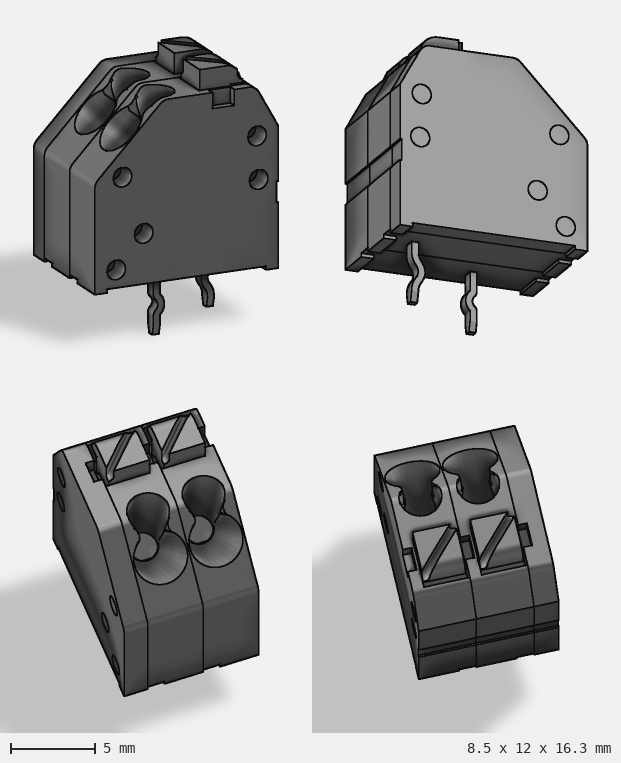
import cadquery as cq
import math

TOTAL_WIDTH = 8.5
DEPTH = 12.0
HEIGHT = 11.5
PLATE_WIDTH = 1.5
MODULE_COUNT = 2
PITCH = (TOTAL_WIDTH - PLATE_WIDTH) / MODULE_COUNT
MODULE_STARTS = [PLATE_WIDTH + i * PITCH for i in range(MODULE_COUNT)]

SLOPE_BOTTOM_Z = 6.9
SLOPE_TOP_Y = 4.5
BACK_BEVEL_Y = 10.51
BACK_BEVEL_Z = 8.85
EDGE_RADIUS = 0.75
FOOT_DEPTH = 0.8
FOOT_HEIGHT = 0.23
FOOT_GAP_WIDTH = 1.05
BACK_RECESS_Z = 4.09
BACK_RECESS_HEIGHT = 1.32
BACK_RECESS_DEPTH = 0.11

PEG_DIAMETER = 1.2
PEG_LENGTH = PLATE_WIDTH
PEG_CENTERS = [(10.61, 8.41), (10.71, 5.69), (1.81, 7.05), (3.2, 3.37), (1.4, 1.35)]

WIRE_X = PITCH / 2
SLOPE_ANGLE = math.atan2(HEIGHT - SLOPE_BOTTOM_Z, SLOPE_TOP_Y)
FUNNEL_Y = 2.55
FUNNEL_Z = SLOPE_BOTTOM_Z + FUNNEL_Y * math.tan(SLOPE_ANGLE)
FUNNEL_MOUTH_RADIUS = 1.65
FUNNEL_FLOOR_RADIUS = 0.91
FUNNEL_DEPTH = 3.96
TEST_HOLE_ANGLE = math.radians(11)
TEST_HOLE_RADIUS = 1.27
TEST_HOLE_FLOOR_RADIUS = 0.91
TEST_HOLE_FLOOR_Y = 5.64
TEST_HOLE_FLOOR_Z = 6.3
MOUTH_EXTENSION = 0.49
NECK_DISTANCE = 1.65
NECK_WAIST = 1.83
NECK_END_WIDTH = 2.25
NECK_LENGTH = 0.98
NECK_DEPTH = 2.28
NECK_TAPER = 5

POCKET_WIDTH = 2.79
POCKET_FRONT_Y = 7.14
POCKET_BACK_Y = 10.25
POCKET_DEPTH = 2.0
BUTTON_TOP_Z = 12.8
BUTTON_SIDE_GAP = 0.2
BUTTON_FRONT_Y = 7.19
HEAD_BACK_Y = 10.01
HEAD_BOTTOM_Z = 11.62
HEAD_RADIUS = 1.14
STEM_BACK_Y = 9.23
BASE_HEIGHT = 1.01
BASE_BACK_CHAMFER = 0.47
BASE_FRONT_RISE = 0.21
SLOT_WIDTH = 0.49
SLOT_DEPTH = 1.0
SLOT_FRONT_FILLET = 0.37
SLOT_BACK_FILLET = 0.1

NOTCH_WIDTH = 0.54
NOTCH_FRONT_Y = 7.7
NOTCH_BACK_Y = 9.11
NOTCH_DEPTH = 1.0

PIN_X = 1.9
PIN_WIDTH = 0.78
PIN_THICKNESS = 0.44
PIN_LENGTH = 3.5
PIN_INSERTION = 1.63
PIN_TOP_Z = FOOT_HEIGHT + PIN_INSERTION
PIN_BEND_Z = -1.61
PIN_TIP_WIDTH = 0.44
PIN_TIP_HEIGHT = 0.64
PIN_SHAPES = [
    (9.8, -1, 38, 1.17, 0.82),
    (4.61, 1, 47, 0.23, 0.65),
]


def box(x0, x1, y0, y1, z0, z1):
    """Box between opposite corners."""
    return cq.Workplane(cq.Solid.makeBox(x1 - x0, y1 - y0, z1 - z0, cq.Vector(x0, y0, z0)))


def profile_slab(x_start, width):
    """Slab with the rounded side profile, the feet and the shallow recess in the back."""
    outline = [
        (0, 0),
        (0, SLOPE_BOTTOM_Z),
        (SLOPE_TOP_Y, HEIGHT),
        (BACK_BEVEL_Y, HEIGHT),
        (DEPTH, BACK_BEVEL_Z),
        (DEPTH, 0),
    ]
    x_end = x_start + width
    slab = cq.Workplane("YZ", origin=(x_start, 0, 0)).polyline(outline).close().extrude(width)
    for y, z in [(0, SLOPE_BOTTOM_Z), (SLOPE_TOP_Y, HEIGHT), (BACK_BEVEL_Y, HEIGHT)]:
        slab = slab.edges(cq.NearestToPointSelector((x_start + width / 2, y, z))).fillet(EDGE_RADIUS)
    underside = box(x_start, x_end, FOOT_DEPTH, DEPTH - FOOT_DEPTH, 0, FOOT_HEIGHT)
    recess_top = BACK_RECESS_Z + BACK_RECESS_HEIGHT
    recess = box(x_start, x_end, DEPTH - BACK_RECESS_DEPTH, DEPTH, BACK_RECESS_Z, recess_top)
    return slab.cut(underside).cut(recess)


def pegs(x_start):
    """Row of pegs running from x_start towards +X."""
    side_plane = cq.Workplane("YZ", origin=(x_start, 0, 0))
    return side_plane.pushPoints(PEG_CENTERS).circle(PEG_DIAMETER / 2).extrude(PEG_LENGTH)


def button_notch(x_end):
    """Clearance notch that opens on the face at x_end."""
    return box(x_end - NOTCH_WIDTH, x_end, NOTCH_FRONT_Y, NOTCH_BACK_Y, HEIGHT - NOTCH_DEPTH, HEIGHT)


def outward_cone(x, y, z, angle, floor_radius, mouth_radius, depth):
    """Cone opening out of the housing from its floor centre, tilted from +Z towards -Y, run past its mouth."""
    taper = (mouth_radius - floor_radius) / depth
    length = depth + MOUTH_EXTENSION
    outward = cq.Vector(0, -math.sin(angle), math.cos(angle))
    return cq.Solid.makeCone(floor_radius, floor_radius + taper * length, length, cq.Vector(x, y, z), outward)


def entry_neck(x_center):
    """Waisted prism that opens the web between funnel and test hole, sunk square to the slope."""
    inward = (0, math.sin(SLOPE_ANGLE), -math.cos(SLOPE_ANGLE))
    slope_plane = cq.Plane(origin=(x_center, FUNNEL_Y, FUNNEL_Z), xDir=(1, 0, 0), normal=inward)
    half_waist = NECK_WAIST / 2
    half_end = NECK_END_WIDTH / 2
    half_length = NECK_LENGTH / 2
    return (
        cq.Workplane(slope_plane)
        .center(0, -NECK_DISTANCE)
        .moveTo(-half_end, -half_length)
        .lineTo(half_end, -half_length)
        .threePointArc((half_waist, 0), (half_end, half_length))
        .lineTo(-half_end, half_length)
        .threePointArc((-half_waist, 0), (-half_end, -half_length))
        .close()
        .extrude(NECK_DEPTH, taper=NECK_TAPER)
    )


def wire_entry(x_center):
    """Funnel and test hole merged into one cutting body, joined by a waisted neck."""
    funnel = outward_cone(
        x_center,
        FUNNEL_Y + FUNNEL_DEPTH * math.sin(SLOPE_ANGLE),
        FUNNEL_Z - FUNNEL_DEPTH * math.cos(SLOPE_ANGLE),
        SLOPE_ANGLE,
        FUNNEL_FLOOR_RADIUS,
        FUNNEL_MOUTH_RADIUS,
        FUNNEL_DEPTH,
    )
    test_hole = outward_cone(
        x_center,
        TEST_HOLE_FLOOR_Y,
        TEST_HOLE_FLOOR_Z,
        TEST_HOLE_ANGLE,
        TEST_HOLE_FLOOR_RADIUS,
        TEST_HOLE_RADIUS,
        (HEIGHT - TEST_HOLE_FLOOR_Z) / math.cos(TEST_HOLE_ANGLE),
    )
    return cq.Workplane(funnel).union(cq.Workplane(test_hole)).union(entry_neck(x_center))


def pin_recess(x_start, shape):
    """Straight recess that holds the upper end of a pin."""
    x = x_start + PIN_X
    y = shape[0]
    half_width = PIN_WIDTH / 2
    half = PIN_THICKNESS / 2
    return box(x - half_width, x + half_width, y - half, y + half, 0, PIN_TOP_Z)


def make_end_plate():
    """End plate whose holes take the pegs of the first housing."""
    return profile_slab(0, PLATE_WIDTH).cut(pegs(0)).cut(button_notch(PLATE_WIDTH))


def make_housing(x_start, pin_shape):
    """Terminal housing with pegs on its -X side and matching sockets on its +X side."""
    x_end = x_start + PITCH
    housing = profile_slab(x_start, PITCH)
    housing = housing.cut(box(x_start, x_start + FOOT_GAP_WIDTH, 0, DEPTH, 0, FOOT_HEIGHT))
    housing = housing.cut(wire_entry(x_start + WIRE_X))
    pocket_x = x_start + POCKET_WIDTH
    housing = housing.cut(
        box(x_start, pocket_x, POCKET_FRONT_Y, POCKET_BACK_Y, HEIGHT - POCKET_DEPTH, HEIGHT)
    )
    housing = housing.cut(button_notch(x_end))
    housing = housing.cut(pin_recess(x_start, pin_shape))
    housing = housing.cut(pegs(x_end - PEG_LENGTH))
    return housing.union(pegs(x_start - PEG_LENGTH))


def make_button(x_start):
    """Push button: rounded head with a diagonal slot, on a stem and a wider base."""
    x0 = x_start + BUTTON_SIDE_GAP
    x1 = x_start + POCKET_WIDTH
    base_bottom = HEIGHT - POCKET_DEPTH
    base_top = base_bottom + BASE_HEIGHT

    head = box(x0, x1, BUTTON_FRONT_Y, HEAD_BACK_Y, HEAD_BOTTOM_Z, BUTTON_TOP_Z)
    head = head.edges(">Y and >Z").fillet(HEAD_RADIUS)
    stem = box(x0, x1, BUTTON_FRONT_Y, STEM_BACK_Y, base_bottom, HEAD_BOTTOM_Z)
    base_outline = [
        (BUTTON_FRONT_Y, base_bottom),
        (BUTTON_FRONT_Y, base_top + BASE_FRONT_RISE),
        (BUTTON_FRONT_Y + BASE_FRONT_RISE, base_top),
        (STEM_BACK_Y - BASE_BACK_CHAMFER, base_top),
        (STEM_BACK_Y, base_top - BASE_BACK_CHAMFER),
        (STEM_BACK_Y, base_bottom),
    ]
    base = cq.Workplane("YZ", origin=(x_start, 0, 0)).polyline(base_outline).close().extrude(POCKET_WIDTH)

    head_width = x1 - x0
    head_depth = HEAD_BACK_Y - BUTTON_FRONT_Y
    slot_angle = math.degrees(math.atan2(head_depth, head_width))
    slot_length = 2 * math.hypot(head_width, head_depth)
    slot = (
        cq.Workplane("XY")
        .box(slot_length, SLOT_WIDTH, 2 * SLOT_DEPTH)
        .edges("|X and <Z and <Y")
        .fillet(SLOT_FRONT_FILLET)
        .edges("|X and <Z and >Y")
        .fillet(SLOT_BACK_FILLET)
        .rotate((0, 0, 0), (0, 0, 1), slot_angle)
        .translate((x0 + head_width / 2, BUTTON_FRONT_Y + head_depth / 2, BUTTON_TOP_Z))
    )
    return head.union(stem).union(base).cut(slot)


def make_pin(x_start, shape):
    """Flat pin with one bulging bend and a tapered tip."""
    y_center, direction, bend_degrees, end_radius, middle_radius = shape
    bend = math.radians(bend_degrees)
    half_bend = (end_radius + middle_radius) * math.sin(bend)
    bulge = (end_radius + middle_radius) * (1 - math.cos(bend))

    def point(out, up):
        return (y_center + direction * out, PIN_BEND_Z + up)

    def end_arc_point(offset, angle):
        radius = end_radius - offset
        return end_radius - radius * math.cos(angle), half_bend - radius * math.sin(angle)

    def bent_side(outline, offset, way):
        """Adds three arcs along one face; way is 1 going down and -1 going up."""
        mid_out, mid_up = end_arc_point(offset, bend / 2)
        join_out, join_up = end_arc_point(offset, bend)
        return (
            outline.lineTo(*point(offset, way * half_bend))
            .threePointArc(point(mid_out, way * mid_up), point(join_out, way * join_up))
            .threePointArc(point(bulge + offset, 0), point(join_out, -way * join_up))
            .threePointArc(point(mid_out, -way * mid_up), point(offset, -way * half_bend))
        )

    half = PIN_THICKNESS / 2
    top = PIN_TOP_Z - PIN_BEND_Z
    bottom = -PIN_LENGTH - PIN_BEND_Z
    x_center = x_start + PIN_X
    outline = cq.Workplane("YZ", origin=(x_center, 0, 0)).moveTo(*point(-half, top))
    outline = bent_side(outline, -half, 1).lineTo(*point(-half, bottom)).lineTo(*point(half, bottom))
    outline = bent_side(outline, half, -1).lineTo(*point(half, top)).close()
    strip = outline.extrude(PIN_WIDTH / 2, both=True)

    front_outline = [
        (-PIN_WIDTH / 2, PIN_TOP_Z),
        (-PIN_WIDTH / 2, PIN_TIP_HEIGHT - PIN_LENGTH),
        (-PIN_TIP_WIDTH / 2, -PIN_LENGTH),
        (PIN_TIP_WIDTH / 2, -PIN_LENGTH),
        (PIN_WIDTH / 2, PIN_TIP_HEIGHT - PIN_LENGTH),
        (PIN_WIDTH / 2, PIN_TOP_Z),
    ]
    taper = cq.Workplane("XZ", origin=(x_center, 0, 0)).polyline(front_outline).close().extrude(-DEPTH)
    return strip.intersect(taper)


end_plate = make_end_plate()
housings = []
buttons = []
pins = []
for module_start, module_pin in zip(MODULE_STARTS, PIN_SHAPES):
    housings.append(make_housing(module_start, module_pin).val())
    buttons.append(make_button(module_start).val())
    pins.append(make_pin(module_start, module_pin).val())

result = cq.Compound.makeCompound([end_plate.val(), *housings, *buttons, *pins])